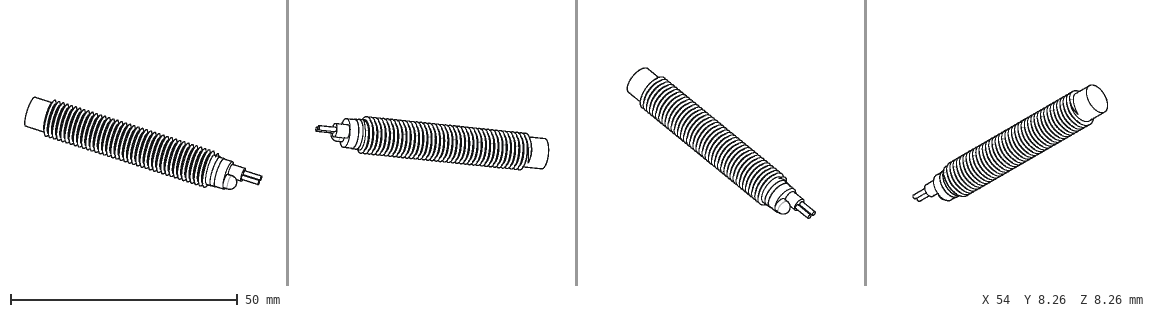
import cadquery as cq

housing_length = 44.0
core_radius = 3.38
crest_radius = 4.13
thread_pitch = 0.99
section_turns = 3
section_count = 13
thread_start = 4.45
ridge_root_width = 0.9
ridge_embed = 0.05
runout_radius = 3.0
runout_turns = 0.25

collar_radius = 3.3
collar_length = 1.0
plug_body_radius = 3.2
plug_body_end = 47.0
cable_radius = 1.5
cable_offset = 1.4
cable_end = 50.0
wire_radius = 0.5
wire_pair_offset = 1.35
wire_spacing = 1.3
wire_end = 54.0
lamp_radius = 1.58
lamp_offset = -1.61
lamp_barrel_end = 48.0

collar_end = housing_length + collar_length
thread_end = thread_start + section_count * section_turns * thread_pitch
root_radius = core_radius - ridge_embed


def rod(radius, x_start, x_end, y=0.0):
    """Cylinder parallel to X."""
    return cq.Workplane("YZ", origin=(x_start, y, 0)).circle(radius).extrude(x_end - x_start)


def helical_ridge(x_start, turns, tip_radius):
    """Triangular ridge wound around X; it starts at +Y with its tip on the thread crest.

    A tip radius below the crest radius moves the winding axis towards +Y, so the ridge
    sinks into the core as it turns.
    """
    axis_offset = crest_radius - tip_radius
    base_radius = root_radius - axis_offset
    half_width = ridge_root_width / 2
    helix = cq.Wire.makeHelix(thread_pitch, turns * thread_pitch, base_radius)
    profile = cq.Wire.makePolygon(
        [
            cq.Vector(base_radius, 0, -half_width),
            cq.Vector(tip_radius, 0, 0),
            cq.Vector(base_radius, 0, half_width),
        ],
        close=True,
    )
    ridge = cq.Solid.sweep(profile, [], helix, isFrenet=True)
    ridge = ridge.rotate(cq.Vector(0, 0, 0), cq.Vector(1, 1, 1), 120)
    return ridge.translate(cq.Vector(x_start, axis_offset, 0))


def make_housing():
    """Barrel with its thread built from end-to-end sections of a few turns each."""
    section_length = section_turns * thread_pitch
    sections = [
        helical_ridge(thread_start + i * section_length, section_turns, crest_radius)
        for i in range(section_count)
    ]
    rear_runout = helical_ridge(thread_end, runout_turns, runout_radius)
    thread_middle = (thread_start + thread_end) / 2
    front_runout = rear_runout.rotate(
        cq.Vector(thread_middle, 0, 0), cq.Vector(thread_middle, 1, 0), 180
    )
    housing = rod(core_radius, 0, housing_length)
    return housing.union(cq.Workplane().newObject([front_runout, *sections, rear_runout]))


def make_rear_plug():
    collar = rod(collar_radius, housing_length, collar_end)
    body = rod(plug_body_radius, collar_end, plug_body_end)
    cable = rod(cable_radius, plug_body_end, cable_end, cable_offset)
    lamp_barrel = rod(lamp_radius, plug_body_end, lamp_barrel_end, lamp_offset)
    lamp_dome = cq.Workplane(origin=(lamp_barrel_end, lamp_offset, 0)).sphere(lamp_radius)
    plug = collar.union(body).union(cable).union(lamp_barrel).union(lamp_dome)
    for side in (-1, 1):
        wire_y = wire_pair_offset + side * wire_spacing / 2
        plug = plug.union(rod(wire_radius, cable_end, wire_end, wire_y))
    return plug


housing = make_housing()
rear_plug = make_rear_plug()

result = cq.Compound.makeCompound([*housing.vals(), *rear_plug.vals()])